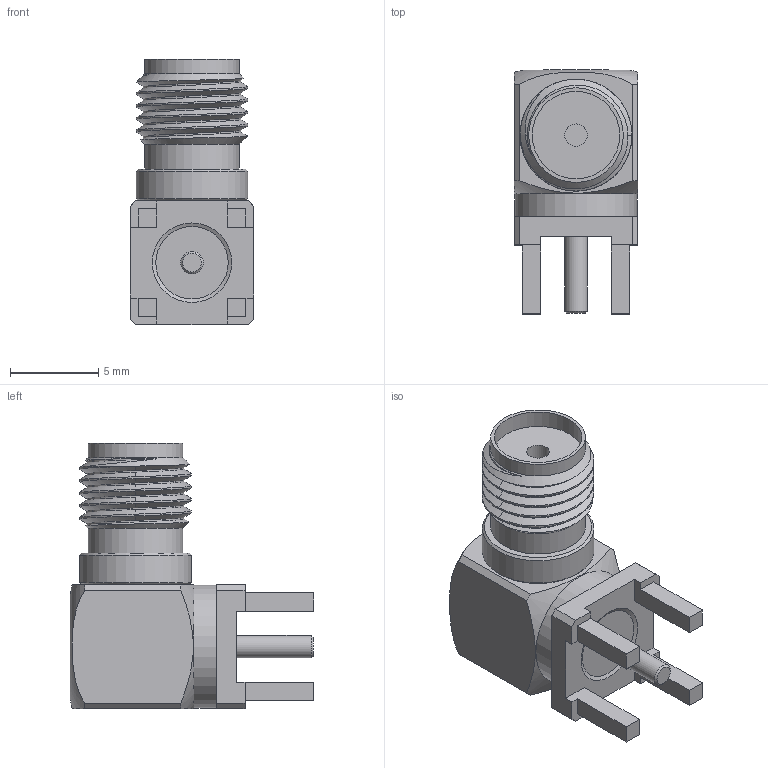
import cadquery as cq
import math


body_size = 7.0
port_offset = 0.2
body_edge_chamfer = 0.3
cone_start_diameter = 6.95
cone_angle = 30.0
back_flat_radius = 5.35 / 2
back_round_radius = 3.0

port_height = 8.0
barrel_diameter = 5.35
collar_diameter = 6.33
collar_height = 1.8
collar_chamfer = 0.13
thread_diameter = 6.33
thread_root_diameter = 5.5
thread_top_depth = 0.8
thread_length = 4.0
thread_pitch = 0.7056
thread_crest_width = 0.1
thread_root_width = 0.1
thread_crest_height = 13.42
groove_overshoot = 0.03
socket_diameter = 4.95
socket_depth = 1.0
contact_hole_diameter = 1.27
contact_hole_depth = 3.0

neck_diameter = 6.95
neck_length = 1.3
plate_thickness = 1.6
standoff_size = 1.5
standoff_height = 0.5
leg_size = 1.05
leg_length = 3.9
ring_outer_diameter = 4.5
ring_inner_diameter = 4.1
ring_depth = 0.1
pin_diameter = 1.27
pin_chamfer = 0.1
pin_setback = 0.05

half_body = body_size / 2
centre_z = half_body
body_back_y = half_body + port_offset
body_front_y = body_back_y - body_size
plate_back_y = body_front_y - neck_length
plate_front_y = plate_back_y - plate_thickness
plate_floor_y = plate_front_y + standoff_height
leg_tip_y = plate_front_y - leg_length
port_top_z = body_size + port_height
thread_top_z = port_top_z - thread_top_depth
thread_bottom_z = thread_top_z - thread_length


def upright_cylinder(diameter, bottom_z, height):
    """Cylinder around the port axis."""
    return cq.Workplane("XY").workplane(offset=bottom_z).circle(diameter / 2).extrude(height)


def lying_cylinder(diameter, start_y, length):
    """Cylinder around the leg-side axis, running from start_y towards -Y."""
    plane = cq.Plane(origin=(0, start_y, centre_z), xDir=(1, 0, 0), normal=(0, -1, 0))
    return cq.Workplane(plane).circle(diameter / 2).extrude(length)


def chamfered_block(back_y, length):
    """Square block whose four edges along Y are chamfered."""
    block = cq.Workplane("XY").box(body_size, length, body_size)
    block = block.edges("|Y").chamfer(body_edge_chamfer)
    return block.translate((0, back_y - length / 2, centre_z))


def make_body():
    """Cube turned to a cone at the front end and rounded over around a flat at the back end."""
    cone_start_radius = cone_start_diameter / 2
    outer_radius = back_flat_radius + back_round_radius
    cone_length = (outer_radius - cone_start_radius) * math.tan(math.radians(cone_angle))
    envelope = (
        cq.Workplane("XY")
        .moveTo(0, body_front_y)
        .lineTo(cone_start_radius, body_front_y)
        .lineTo(outer_radius, body_front_y + cone_length)
        .lineTo(outer_radius, body_back_y - back_round_radius)
        .radiusArc((back_flat_radius, body_back_y), -back_round_radius)
        .lineTo(0, body_back_y)
        .close()
        .revolve(360, (0, 0, 0), (0, 1, 0))
        .translate((0, 0, centre_z))
    )
    return chamfered_block(body_back_y, body_size).intersect(envelope)


def make_thread():
    """Right-hand thread with 45 degree ends, made by cutting a helical groove."""
    outer_radius = thread_diameter / 2
    root_radius = thread_root_diameter / 2
    blank = upright_cylinder(thread_diameter, thread_bottom_z, thread_length)
    blank = blank.faces("<Z or >Z").chamfer((thread_diameter - barrel_diameter) / 2)

    half_root = thread_root_width / 2
    half_mouth = (thread_pitch - thread_crest_width) / 2
    flank_slope = (half_mouth - half_root) / (outer_radius - root_radius)
    half_outside = half_mouth + flank_slope * groove_overshoot
    half_turn_path = cq.Wire.makeHelix(thread_pitch, thread_pitch / 2, root_radius)
    half_turn = (
        cq.Workplane("XZ")
        .moveTo(root_radius, -half_root)
        .lineTo(outer_radius + groove_overshoot, -half_outside)
        .lineTo(outer_radius + groove_overshoot, half_outside)
        .lineTo(root_radius, half_root)
        .close()
        .sweep(cq.Workplane(half_turn_path), isFrenet=True)
    )

    turns_below_crest = math.ceil((thread_crest_height - thread_bottom_z) / thread_pitch) + 0.5
    groove_start_z = thread_crest_height - turns_below_crest * thread_pitch
    half_turn_count = 2 * math.ceil((thread_top_z - groove_start_z) / thread_pitch) + 1
    thread = blank
    for index in range(half_turn_count):
        turned = half_turn.rotate((0, 0, 0), (0, 0, 1), 180 * index)
        thread = thread.cut(turned.translate((0, 0, groove_start_z + index * thread_pitch / 2)))
    return thread


def make_port():
    """Collar, barrel and thread with the open socket and contact hole."""
    collar = upright_cylinder(collar_diameter, body_size, collar_height)
    collar = collar.faces("<Z or >Z").chamfer(collar_chamfer)
    barrel = upright_cylinder(barrel_diameter, body_size, port_height)
    socket_floor_z = port_top_z - socket_depth
    socket = upright_cylinder(socket_diameter, socket_floor_z, socket_depth)
    hole = upright_cylinder(contact_hole_diameter, socket_floor_z - contact_hole_depth, contact_hole_depth)
    return make_thread().union(barrel).union(collar).cut(socket).cut(hole)


def make_mount():
    """Neck and square plate with a standoff and a leg at each corner."""
    neck = lying_cylinder(neck_diameter, body_front_y, neck_length)
    plate = chamfered_block(plate_back_y, plate_thickness)
    relief_width = body_size - 2 * standoff_size
    relief_y = plate_front_y + standoff_height / 2
    for width, height in ((body_size, relief_width), (relief_width, body_size)):
        relief = cq.Workplane("XY").box(width, standoff_height, height)
        plate = plate.cut(relief.translate((0, relief_y, centre_z)))

    recess = (
        cq.Workplane(cq.Plane(origin=(0, plate_floor_y, centre_z), xDir=(1, 0, 0), normal=(0, 1, 0)))
        .circle(ring_outer_diameter / 2)
        .workplane(offset=ring_depth)
        .circle(ring_inner_diameter / 2)
        .loft()
    )
    mount = neck.union(plate.cut(recess))

    leg_offset = half_body - standoff_size + leg_size / 2
    for side_x in (-1, 1):
        for side_z in (-1, 1):
            leg = cq.Workplane("XY").box(leg_size, leg_length, leg_size)
            leg_centre = (side_x * leg_offset, leg_tip_y + leg_length / 2, centre_z + side_z * leg_offset)
            mount = mount.union(leg.translate(leg_centre))
    return mount


def make_pin():
    """Centre pin with a chamfered tip, rooted in the body."""
    tip_y = leg_tip_y + pin_setback
    pin = lying_cylinder(pin_diameter, body_front_y, body_front_y - tip_y)
    return pin.faces("<Y").chamfer(pin_chamfer)


result = make_body().union(make_port()).union(make_mount()).union(make_pin())